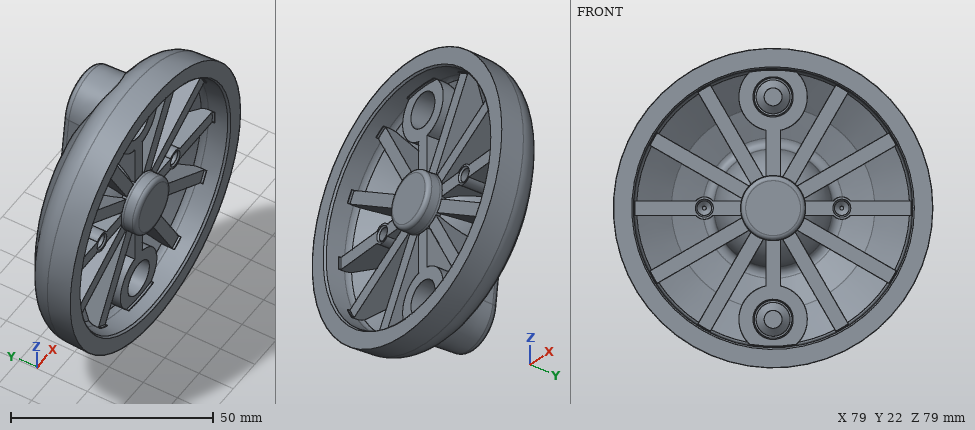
import cadquery as cq
import math


rim_radius = 39.5
total_depth = 22.0
shoulder_radius = 39.2
shoulder_depth = 6.9
dome_edge_radius = 34.9
dome_edge_depth = 13.1
dome_middle_radius = 24.2
dome_middle_depth = 18.9
crown_radius = 11.05

mouth_radius = 34.9
lip_radius = 34.5
lip_depth = 0.6
wall_foot_radius = 34.3
wall_foot_depth = 6.1
floor_edge_radius = 33.7
floor_edge_depth = 7.8
floor_bend_radius = 25.1
floor_bend_depth = 14.4
valley_outer_radius = 17.4
valley_outer_depth = 17.45
valley_inner_radius = 14.6

mound_radius = 14.85
mound_center_depth = 18.5
mound_top_radius = 6.3

rib_count = 12
rib_width = 3.55
rib_front_depth = 4.9
rib_end_depth = 4.3
recess_radius = 34.1
hub_radius = 8.0
hub_front_depth = 0.55
hub_fillet = 1.2
hub_foot_radius = 8.05
hub_foot_height = 0.6

boss_offset = 27.5
boss_radius = 8.45
bore_mouth_radius = 5.0
bore_end_radius = 4.7
bore_end_depth = 18.95
pin_base_radius = 4.2
pin_top_radius = 2.2
pin_height = 2.0

pad_root_radius = 10.2
pad_root_depth = 9.5
pad_draft_angle = 2.5
pad_depth = 21.1
pad_fillet = 2.0
pad_flare_angle = 8.0

pilot_offset = 17.0
pilot_boss_radius = 2.8
pilot_mouth_radius = 2.2
pilot_mouth_depth = 0.5
pilot_radius = 1.8
pilot_depth = 7.9
pilot_tip_radius = 0.5


def cylinder(radius, start, end, x=0.0, z=0.0):
    """Solid cylinder along Y between two depths."""
    return cq.Workplane("XZ", origin=(x, start, z)).circle(radius).extrude(start - end)


def turned(profile, x=0.0, z=0.0):
    """Profile of radius and depth turned about an axis parallel to Y."""
    return profile.close().revolve(360, (0, 0, 0), (0, 1, 0)).translate((x, 0, z))


def make_outer():
    profile = (
        cq.Workplane("XY")
        .lineTo(rim_radius, 0)
        .lineTo(shoulder_radius, shoulder_depth)
        .tangentArcPoint((dome_edge_radius, dome_edge_depth), relative=False)
        .threePointArc((dome_middle_radius, dome_middle_depth), (crown_radius, total_depth))
        .lineTo(0, total_depth)
    )
    return turned(profile)


def mound_depth(radius):
    """Depth of the mound's surface at a given radius."""
    return mound_center_depth - math.sqrt(mound_radius**2 - radius**2)


def make_cavity():
    mound_middle_radius = (mound_top_radius + valley_inner_radius) / 2
    profile = (
        cq.Workplane("XY")
        .lineTo(mouth_radius, 0)
        .lineTo(lip_radius, lip_depth)
        .lineTo(wall_foot_radius, wall_foot_depth)
        .tangentArcPoint((floor_edge_radius, floor_edge_depth), relative=False)
        .lineTo(floor_bend_radius, floor_bend_depth)
        .lineTo(valley_outer_radius, valley_outer_depth)
        .tangentArcPoint((valley_inner_radius, mound_depth(valley_inner_radius)), relative=False)
        .threePointArc(
            (mound_middle_radius, mound_depth(mound_middle_radius)),
            (mound_top_radius, mound_depth(mound_top_radius)),
        )
        .lineTo(0, mound_depth(mound_top_radius))
    )
    return turned(profile)


def make_pads():
    """One long block whose sides widen from the round ends towards the middle."""
    flare = math.radians(pad_flare_angle)
    tangent_x = pad_root_radius * math.cos(flare)
    tangent_z = boss_offset + pad_root_radius * math.sin(flare)
    middle_x = tangent_x + tangent_z * math.tan(flare)
    end_z = boss_offset + pad_root_radius
    outline = (
        cq.Workplane("XZ", origin=(0, pad_root_depth, 0))
        .moveTo(middle_x, 0)
        .lineTo(tangent_x, tangent_z)
        .threePointArc((0, end_z), (-tangent_x, tangent_z))
        .lineTo(-middle_x, 0)
        .lineTo(-tangent_x, -tangent_z)
        .threePointArc((0, -end_z), (tangent_x, -tangent_z))
        .close()
    )
    pads = outline.extrude(pad_root_depth - pad_depth, taper=pad_draft_angle)
    return pads.faces(">Y").edges().fillet(pad_fillet)


def make_ribs():
    """Ribs and bosses, with a shallow round recess turned into their front faces."""
    rib_depth = total_depth - rib_end_depth
    ribs = cylinder(pilot_boss_radius, rib_end_depth, total_depth, pilot_offset)
    ribs = ribs.union(cylinder(pilot_boss_radius, rib_end_depth, total_depth, -pilot_offset))
    for z in (-boss_offset, boss_offset):
        ribs = ribs.union(cylinder(boss_radius, rib_end_depth, total_depth, 0, z))
    for index in range(rib_count // 2):
        bar = cq.Workplane("XY").box(2 * mouth_radius, rib_depth, rib_width)
        bar = bar.translate((0, rib_end_depth + rib_depth / 2, 0))
        ribs = ribs.union(bar.rotate((0, 0, 0), (0, 1, 0), index * 360 / rib_count))
    return ribs.cut(cylinder(recess_radius, 0, rib_front_depth))


def make_hub():
    hub = cylinder(hub_radius, hub_front_depth, total_depth)
    hub = hub.faces("<Y").edges().fillet(hub_fillet)
    foot = cylinder(hub_foot_radius, rib_front_depth - hub_foot_height, total_depth)
    foot = foot.faces("<Y").edges().chamfer(hub_foot_height, hub_foot_radius - hub_radius)
    return hub.union(foot)


def make_bore(z):
    """Blind tapered bore that leaves a conical pin standing on its end."""
    profile = (
        cq.Workplane("XY")
        .moveTo(0, rib_front_depth)
        .lineTo(bore_mouth_radius, rib_front_depth)
        .lineTo(bore_end_radius, bore_end_depth)
        .lineTo(pin_base_radius, bore_end_depth)
        .lineTo(pin_top_radius, bore_end_depth - pin_height)
        .lineTo(0, bore_end_depth - pin_height)
    )
    return turned(profile, z=z)


def make_pilot(x):
    """Countersunk pilot hole with a conical end."""
    straight_start = rib_front_depth + pilot_mouth_depth
    straight_end = rib_front_depth + pilot_depth
    tip_depth = straight_end + pilot_radius - pilot_tip_radius
    profile = (
        cq.Workplane("XY")
        .moveTo(0, rib_front_depth)
        .lineTo(pilot_mouth_radius, rib_front_depth)
        .lineTo(pilot_radius, straight_start)
        .lineTo(pilot_radius, straight_end)
        .lineTo(pilot_tip_radius, tip_depth)
        .lineTo(0, tip_depth)
    )
    return turned(profile, x=x)


outer = make_outer()
cavity = make_cavity()
inside = make_ribs().union(make_hub()).intersect(outer)
result = outer.union(make_pads()).cut(cavity).union(inside)
for side in (-1, 1):
    result = result.cut(make_bore(side * boss_offset))
    result = result.cut(make_pilot(side * pilot_offset))